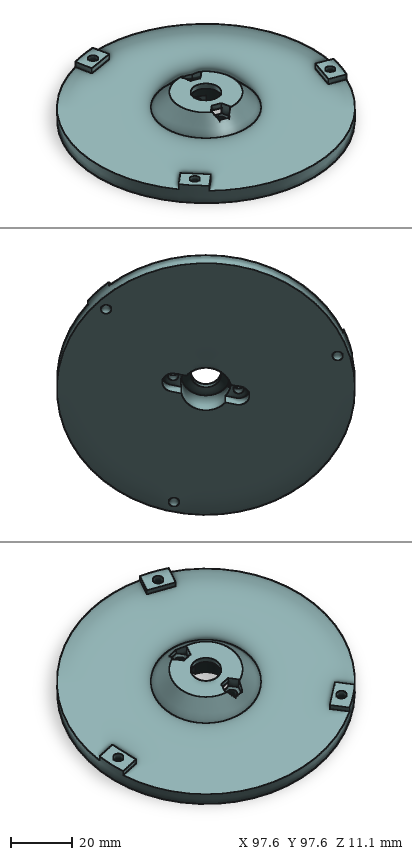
import cadquery as cq

disc_diameter = 97.6
disc_thickness = 5.0

hub_height = 6.1
hub_top_radius = 12.0
hub_base_radius = hub_top_radius + hub_height
hub_top = disc_thickness + hub_height

bore_diameter = 10.0
socket_diameter = 16.4
web_thickness = 2.05
socket_depth = hub_top - web_thickness

screw_diameter = 3.4
screw_offset = 11.0
nut_across_flats = 6.1
nut_pocket_depth = 4.0

slot_width = 7.0
slot_depth = 4.0

pad_angles = (90, 210, 330)
pad_width = 10.1
pad_length = 6.8
pad_height = 2.05
pad_hole_radius = 45.0


def make_disc():
    return cq.Workplane("XY").circle(disc_diameter / 2).extrude(disc_thickness)


def make_hub():
    """Truncated cone standing on the disc."""
    return (
        cq.Workplane("XZ")
        .moveTo(0, disc_thickness)
        .lineTo(hub_base_radius, disc_thickness)
        .lineTo(hub_top_radius, hub_top)
        .lineTo(0, hub_top)
        .close()
        .revolve(360, (0, 0), (0, 1))
    )


def make_pad(angle):
    """Rectangular pad with its outer face trimmed to the disc radius."""
    block = (
        cq.Workplane("XY", origin=(0, 0, disc_thickness))
        .center(disc_diameter / 2 - pad_length / 2, 0)
        .rect(pad_length, pad_width)
        .extrude(pad_height)
    )
    rim = cq.Workplane("XY").circle(disc_diameter / 2).extrude(disc_thickness + pad_height)
    return block.intersect(rim).rotate((0, 0, 0), (0, 0, 1), angle)


def make_screw_hole(radius, angle):
    """Cutter for a vertical through hole at the given polar position."""
    return (
        cq.Workplane("XY")
        .center(radius, 0)
        .circle(screw_diameter / 2)
        .extrude(hub_top)
        .rotate((0, 0, 0), (0, 0, 1), angle)
    )


def make_nut_pocket(angle):
    """Hexagonal cutter with two flats facing along the radius."""
    pocket = (
        cq.Workplane("XY")
        .polygon(6, nut_across_flats, circumscribed=True)
        .extrude(nut_pocket_depth)
        .translate((screw_offset, 0, hub_top - nut_pocket_depth))
    )
    return pocket.rotate((0, 0, 0), (0, 0, 1), angle)


result = make_disc().union(make_hub())
for pad_angle in pad_angles:
    result = result.union(make_pad(pad_angle))
    result = result.cut(make_screw_hole(pad_hole_radius, pad_angle))

result = result.cut(cq.Workplane("XY").circle(bore_diameter / 2).extrude(hub_top))
result = result.cut(cq.Workplane("XY").circle(socket_diameter / 2).extrude(socket_depth))

slot_length = 2 * screw_offset + slot_width
result = result.cut(cq.Workplane("XY").slot2D(slot_length, slot_width).extrude(slot_depth))

for screw_angle in (0, 180):
    result = result.cut(make_nut_pocket(screw_angle))
    result = result.cut(make_screw_hole(screw_offset, screw_angle))